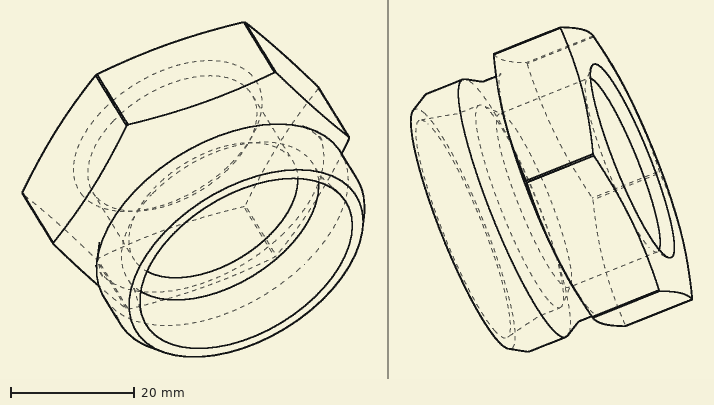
import cadquery as cq
import math

total_length = 30.0
hex_flats = 46.0
hex_corner_diameter = 52.95
head_length = 14.0
head_face_diameter = 45.0
head_chamfer_angle = 15.0

thread_diameter = 45.0
neck_diameter = 41.9
thread_start = 20.9
thread_chamfer_angle = 30.0
neck_fillet = 1.25
thread_edge_fillet = 0.65

bore_diameter = 30.3
entry_diameter = 33.8
passage_chamfer_angle = 45.0
seat_diameter = 35.35
seat_depth = 10.0
mouth_diameter = 38.0
mouth_half_angle = 12.0


def taper_length(large_diameter, small_diameter, half_angle):
    """Axial length of a cone between two diameters."""
    return (large_diameter - small_diameter) / 2 / math.tan(math.radians(half_angle))


def revolve_profile(points):
    """Turn a closed (x, radius) outline about the X axis."""
    return cq.Workplane("XY").polyline(points).close().revolve(360, (0, 0, 0), (1, 0, 0))


def make_head():
    """Hexagon with flats at top and bottom, its corners turned to a barrel with chamfered ends."""
    hexagon_diameter = hex_flats / math.cos(math.radians(30))
    hexagon = cq.Workplane("YZ").polygon(6, hexagon_diameter).extrude(head_length)
    face_radius = head_face_diameter / 2
    corner_radius = hex_corner_diameter / 2
    chamfer_length = (corner_radius - face_radius) * math.tan(math.radians(head_chamfer_angle))
    barrel = revolve_profile([
        (0, 0),
        (0, face_radius),
        (chamfer_length, corner_radius),
        (head_length - chamfer_length, corner_radius),
        (head_length, face_radius),
        (head_length, 0),
    ])
    return hexagon.intersect(barrel)


def make_threaded_end():
    """Neck, cone up to the thread, thread cylinder and end chamfer."""
    neck_radius = neck_diameter / 2
    thread_radius = thread_diameter / 2
    cone_length = taper_length(thread_diameter, neck_diameter, thread_chamfer_angle)
    neck_end = thread_start - cone_length
    chamfer_start = total_length - cone_length
    body = revolve_profile([
        (0, 0),
        (0, neck_radius),
        (neck_end, neck_radius),
        (thread_start, thread_radius),
        (chamfer_start, thread_radius),
        (total_length, neck_radius),
        (total_length, 0),
    ])
    body = body.edges(circle_at(neck_end, neck_radius)).fillet(neck_fillet)
    return body.edges(circle_at(chamfer_start, thread_radius)).fillet(thread_edge_fillet)


def circle_at(x, radius):
    """Selector for the circular edge of a given radius at position x."""
    margin = 0.05
    reach = radius + margin
    return cq.selectors.BoxSelector((x - margin, -reach, -reach), (x + margin, reach, reach), boundingbox=True)


def make_passage():
    """Through passage, widening to the tube seat and mouth at the threaded end."""
    bore_radius = bore_diameter / 2
    seat_radius = seat_diameter / 2
    entry_length = taper_length(entry_diameter, bore_diameter, passage_chamfer_angle)
    seat_start = total_length - seat_depth
    bore_end = seat_start - taper_length(seat_diameter, bore_diameter, passage_chamfer_angle)
    mouth_start = total_length - taper_length(mouth_diameter, seat_diameter, mouth_half_angle)
    return revolve_profile([
        (0, 0),
        (0, entry_diameter / 2),
        (entry_length, bore_radius),
        (bore_end, bore_radius),
        (seat_start, seat_radius),
        (mouth_start, seat_radius),
        (total_length, mouth_diameter / 2),
        (total_length, 0),
    ])


outer = make_head().union(make_threaded_end())
outer = outer.edges(circle_at(head_length, neck_diameter / 2)).fillet(neck_fillet)
result = outer.cut(make_passage())